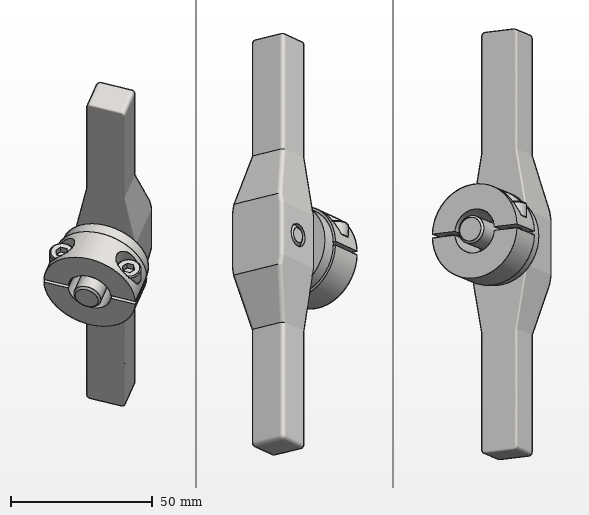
import cadquery as cq


handle_half_length = 76.2
boss_half_width = 11.3
grip_half_width = 7.2
boss_depth = 19.0
grip_depth = 12.6
grip_start = 32.5
side_flat_half = 9.9
back_flat_half = 13.3
back_radius = 1.5
front_radius = 0.6

set_screw_radius = 4.1
set_screw_face_radius = 2.7
set_screw_y = boss_depth / 2
groove_depth = set_screw_radius - set_screw_face_radius

flange_radius = 16.0
flange_thickness = 5.0
clamp_radius = 17.0
clamp_thickness = 13.0
bore_radius = 8.0
slit_width = 1.4
hub_thickness = flange_thickness + clamp_thickness
clamp_middle_y = -flange_thickness - clamp_thickness / 2

spindle_radius = 5.0
spindle_projection = 3.2
spindle_chamfer = 0.8

screw_offset = 12.3
screw_radius = 2.6
screw_bottom = -6.1
head_radius = 4.4
head_top = 9.9
head_chamfer = 0.5
socket_across_corners = 4.5
socket_sides = 6
socket_depth = 2.5
counterbore_floor = 4.7
screw_positions = (-screw_offset, screw_offset)


def handle_section(z, half_width, depth):
    """Closed cross-section of the handle at height z, square in front and rounded at the back."""
    corner_start = depth - back_radius
    corner_end = half_width - back_radius
    return (
        cq.Workplane("XY", origin=(0, 0, z))
        .moveTo(-half_width, 0)
        .lineTo(half_width, 0)
        .lineTo(half_width, corner_start)
        .radiusArc((corner_end, depth), -back_radius)
        .lineTo(-corner_end, depth)
        .radiusArc((-half_width, corner_start), -back_radius)
        .close()
        .val()
    )


def make_handle_blank():
    """Straight-sided loft through the sections where the sides or the back change direction."""
    side_slope = (boss_half_width - grip_half_width) / (grip_start - side_flat_half)
    half_width_at_back_bend = boss_half_width - side_slope * (back_flat_half - side_flat_half)
    stations = [
        (side_flat_half, boss_half_width, boss_depth),
        (back_flat_half, half_width_at_back_bend, boss_depth),
        (grip_start, grip_half_width, grip_depth),
        (handle_half_length, grip_half_width, grip_depth),
    ]
    lower = [handle_section(-z, half_width, depth) for z, half_width, depth in reversed(stations)]
    upper = [handle_section(z, half_width, depth) for z, half_width, depth in stations]
    blank = cq.Workplane(cq.Solid.makeLoft(lower + upper, True).clean())
    blank = blank.faces("<Z or >Z").edges("not <Y").fillet(back_radius)
    return blank.faces("<Y").edges().fillet(front_radius)


def make_set_screw_groove():
    ring = (
        cq.Workplane("YZ", origin=(-boss_half_width, set_screw_y, 0))
        .circle(set_screw_radius)
        .extrude(groove_depth)
    )
    bevelled_tip = cq.Workplane(
        cq.Solid.makeCone(
            set_screw_face_radius,
            set_screw_radius,
            groove_depth,
            pnt=cq.Vector(-boss_half_width, set_screw_y, 0),
            dir=cq.Vector(1, 0, 0),
        )
    )
    return ring.cut(bevelled_tip)


def make_spindle():
    return (
        cq.Workplane("XZ")
        .circle(spindle_radius)
        .extrude(hub_thickness + spindle_projection)
        .faces("<Y")
        .chamfer(spindle_chamfer)
    )


def make_handle():
    """Handle with its spindle and set screw, as one solid."""
    return make_handle_blank().cut(make_set_screw_groove()).union(make_spindle())


def upright_cylinder(x, radius, bottom, top):
    """Cylinder parallel to Z in the middle of the clamp's thickness."""
    return cq.Workplane("XY", origin=(x, clamp_middle_y, bottom)).circle(radius).extrude(top - bottom)


def make_clamp_screw(x):
    head = upright_cylinder(x, head_radius, counterbore_floor, head_top)
    head = head.faces(">Z").chamfer(head_chamfer)
    socket = (
        cq.Workplane("XY", origin=(x, clamp_middle_y, head_top))
        .polygon(socket_sides, socket_across_corners)
        .extrude(-socket_depth)
    )
    shank = upright_cylinder(x, screw_radius, screw_bottom, counterbore_floor)
    return head.cut(socket).union(shank)


def hub_ring(outer_radius, start, thickness):
    """Ring round the bore, beginning at the given distance in front of the handle."""
    return (
        cq.Workplane("XZ", origin=(0, -start, 0))
        .circle(outer_radius)
        .circle(bore_radius)
        .extrude(thickness)
    )


def make_hub():
    """Flanged clamp, split level with the spindle, with its two screws, as one solid."""
    clamp = hub_ring(clamp_radius, flange_thickness, clamp_thickness)
    slit = cq.Workplane("XY", origin=(0, clamp_middle_y, 0)).box(2 * clamp_radius, clamp_thickness, slit_width)
    clamp = clamp.cut(slit)
    for x in screw_positions:
        clamp = clamp.cut(upright_cylinder(x, head_radius, counterbore_floor, clamp_radius))

    hub = hub_ring(flange_radius, 0, flange_thickness).union(clamp)
    for x in screw_positions:
        hub = hub.union(make_clamp_screw(x))
    return hub


handle = make_handle()
hub = make_hub()

result = cq.Compound.makeCompound([handle.val(), hub.val()])